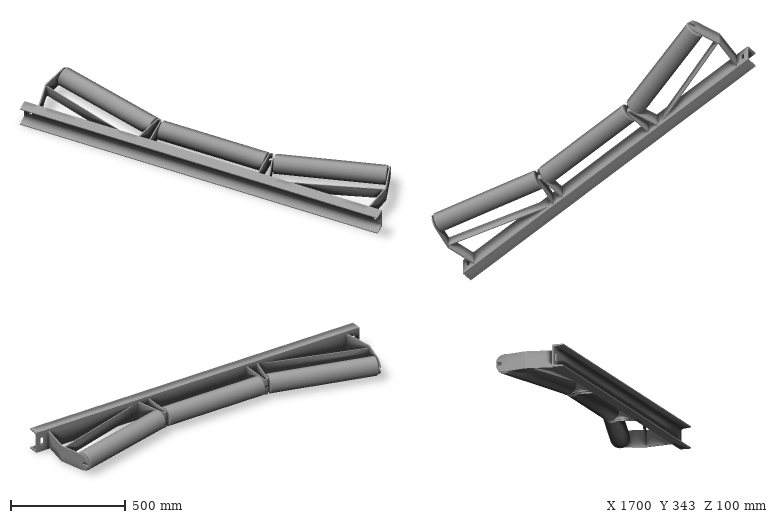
import cadquery as cq
import math


channel_length = 1700.0
channel_height = 100.0
channel_depth = 51.0
channel_wall = 6.0
flange_tip = 5.0
flange_root = 9.4
channel_root_radius = 8.0
slot_width = 15.0
slot_height = 35.0
slot_end_distance = 30.0

roller_radius = 45.0
roller_length = 500.0
roller_edge_radius = 5.0
roller_gap = 5.0
center_axis_height = 115.0
tilt = 15.0
side_roller_x = 529.0
side_roller_y = 185.0
shaft_width = 15.0

bracket_width = 76.0

middle_thickness = 5.0
bend_radius = 9.4

end_thickness = 6.0
end_foot_x = 784.0
end_bend_y = 140.0

brace_foot_x = 348.0
brace_thickness = 4.2
brace_width = 56.0
brace_top_y = 143.0

half_roller = roller_length / 2
plate_face = half_roller + roller_gap
middle_offset = plate_face + middle_thickness / 2
end_offset = plate_face + end_thickness / 2
slot_reach = middle_offset + bend_radius
sin_tilt = math.sin(math.radians(tilt))
cos_tilt = math.cos(math.radians(tilt))


def tilted_plate_x(offset, y):
    """X at height y on the line square to the side roller axis, offset along that axis."""
    return side_roller_x + (offset - (y - side_roller_y) * sin_tilt) / cos_tilt


tilted_foot_x = tilted_plate_x(-middle_offset, 0)
end_bend_x = tilted_plate_x(end_offset, end_bend_y)


def extrude_centered(outline, width):
    """Extrude an XY outline to a width centred on Z = 0."""
    return outline.extrude(width).translate((0, 0, -width / 2))


def make_channel():
    start = -channel_length / 2
    tip_z = channel_height / 2 - flange_tip
    root_z = channel_height / 2 - flange_root
    profile = [
        (-channel_depth, -channel_height / 2),
        (0, -channel_height / 2),
        (0, channel_height / 2),
        (-channel_depth, channel_height / 2),
        (-channel_depth, tip_z),
        (-channel_wall, root_z),
        (-channel_wall, -root_z),
        (-channel_depth, -tip_z),
    ]
    web_front = cq.selectors.BoxSelector(
        (start, -2 * channel_wall, -channel_height),
        (-start, -channel_wall / 2, channel_height),
    )
    channel = (
        cq.Workplane("YZ", origin=(start, 0, 0))
        .polyline(profile)
        .close()
        .extrude(channel_length)
        .edges("|X")
        .edges(web_front)
        .fillet(channel_root_radius)
    )
    slot_x = channel_length / 2 - slot_end_distance
    slots = (
        cq.Workplane("XZ")
        .pushPoints([(-slot_x, 0), (slot_x, 0)])
        .rect(slot_width, slot_height)
        .extrude(channel_wall)
    )
    return channel.cut(slots)


def make_roller(left_plate, right_plate):
    """Roller along X, centred on the origin, with square shaft ends flush with the outer plate faces.

    left_plate and right_plate are the thicknesses of the plates that hold the two ends.
    """
    shell = (
        cq.Workplane("YZ", origin=(-half_roller, 0, 0))
        .circle(roller_radius)
        .extrude(roller_length)
        .edges()
        .fillet(roller_edge_radius)
    )
    shaft = (
        cq.Workplane("YZ", origin=(-plate_face - left_plate, 0, 0))
        .rect(shaft_width, shaft_width)
        .extrude(2 * plate_face + left_plate + right_plate)
    )
    return shell.union(shaft)


def tilted_at_right(body):
    """Move a body from the X axis at the origin to the right side roller's axis."""
    return body.rotate((0, 0, 0), (0, 0, 1), tilt).translate((side_roller_x, side_roller_y, 0))


def shaft_slot():
    """Cutter along X at the origin: a square seat open toward +Y, reaching to the bend centre."""
    depth = 2 * roller_radius
    cutter = cq.Workplane("XY").box(2 * slot_reach, depth, shaft_width)
    return cutter.translate((0, (depth - shaft_width) / 2, 0))


def make_middle_bracket():
    half = middle_thickness / 2
    upright_x = middle_offset
    bend_x = slot_reach
    bend_y = ((tilted_foot_x - bend_x) * cos_tilt - bend_radius) / sin_tilt
    outer = bend_radius + half
    inner = bend_radius - half
    foot_half = half / cos_tilt

    def tangent(radius):
        return (bend_x + radius * cos_tilt, bend_y + radius * sin_tilt)

    def crown(radius):
        return (bend_x, bend_y + radius)

    outline = (
        cq.Workplane("XY")
        .moveTo(upright_x - half, 0)
        .lineTo(bend_x - outer, bend_y)
        .threePointArc(crown(outer), tangent(outer))
        .lineTo(tilted_foot_x + foot_half, 0)
        .lineTo(tilted_foot_x - foot_half, 0)
        .lineTo(*tangent(inner))
        .threePointArc(crown(inner), (bend_x - inner, bend_y))
        .lineTo(upright_x + half, 0)
        .close()
    )
    center_slot = shaft_slot().translate((0, center_axis_height, 0))
    return extrude_centered(outline, bracket_width).cut(center_slot).cut(tilted_at_right(shaft_slot()))


def make_end_bracket():
    half = end_thickness / 2
    top_y = side_roller_y + half_roller
    top_x = tilted_plate_x(end_offset, top_y)
    lean = math.atan2(end_bend_x - end_foot_x, end_bend_y)
    upper_half = half / cos_tilt
    foot_half = half / math.cos(lean)
    mitre_angle = (math.radians(tilt) - lean) / 2
    mitre_half = half / math.cos((math.radians(tilt) + lean) / 2)
    mitre_x = mitre_half * math.cos(mitre_angle)
    mitre_y = mitre_half * math.sin(mitre_angle)
    outline = (
        cq.Workplane("XY")
        .polyline(
            [
                (end_foot_x - foot_half, 0),
                (end_bend_x - mitre_x, end_bend_y - mitre_y),
                (top_x - upper_half, top_y),
                (top_x + upper_half, top_y),
                (end_bend_x + mitre_x, end_bend_y + mitre_y),
                (end_foot_x + foot_half, 0),
            ]
        )
        .close()
    )
    reach = channel_length
    round_top = (
        cq.Workplane("YZ")
        .moveTo(-reach, -bracket_width / 2)
        .lineTo(0, -bracket_width / 2)
        .threePointArc((bracket_width / 2, 0), (0, bracket_width / 2))
        .lineTo(-reach, bracket_width / 2)
        .close()
        .extrude(reach, both=True)
    )
    bent_plate = extrude_centered(outline, bracket_width)
    return bent_plate.intersect(tilted_at_right(round_top)).cut(tilted_at_right(shaft_slot()))


def make_brace(end_bracket):
    """Flat strip from the channel web to the inside of the end bracket's bend."""
    brace_top_x = tilted_plate_x(end_offset, brace_top_y)
    half = brace_thickness / 2
    slope = math.atan2(brace_top_y, brace_top_x - brace_foot_x)
    foot_half = half / math.sin(slope)
    shift_x = half * math.sin(slope)
    shift_y = half * math.cos(slope)
    outline = (
        cq.Workplane("XY")
        .polyline(
            [
                (brace_foot_x - foot_half, 0),
                (brace_top_x - shift_x, brace_top_y + shift_y),
                (brace_top_x + shift_x, brace_top_y - shift_y),
                (brace_foot_x + foot_half, 0),
            ]
        )
        .close()
    )
    return extrude_centered(outline, brace_width).cut(end_bracket)


channel = make_channel()
center_roller = make_roller(middle_thickness, middle_thickness).translate((0, center_axis_height, 0))
side_roller = tilted_at_right(make_roller(middle_thickness, end_thickness))
middle_bracket = make_middle_bracket()
end_bracket = make_end_bracket()
brace = make_brace(end_bracket)

bodies = [channel.solids().val(), center_roller.solids().val()]
for right_body in (side_roller, middle_bracket, end_bracket, brace):
    left_body = right_body.mirror("YZ")
    bodies.append(right_body.solids().val())
    bodies.append(left_body.solids().val())

result = cq.Compound.makeCompound(bodies)